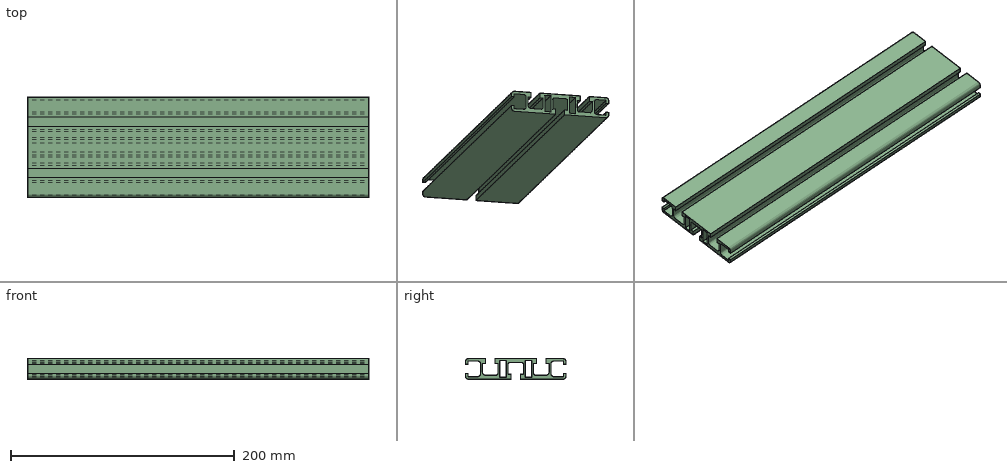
import cadquery as cq

length = 304.8
width = 90.0
height = 18.5
outer_radius = 2.7

slot_opening = 8.2
slot_width = 13.7
slot_lip = 4.5
slot_floor = 3.7
slot_radius = 1.8
upper_slot_outer_radius = 2.7
upper_slot_offset = 23.0

channel_lip = 2.5
channel_radius = 2.5
web_thickness = 1.8
channel_inner = upper_slot_offset + slot_width / 2 + web_thickness
channel_outer = width / 2 - channel_lip

chamber_width = 5.5
chamber_height = 15.0
chamber_offset = upper_slot_offset / 2

top = height / 2


def bar(y_min, y_max, z_min, z_max):
    """Full-length rectangular bar between the given Y and Z limits."""
    return cq.Workplane("XY").box(length, y_max - y_min, z_max - z_min).translate(
        (0, (y_min + y_max) / 2, (z_min + z_max) / 2)
    )


def upper_slot(y_centre, positive_y_radius):
    """T-slot open at the top; its floor corner on the +Y side has its own radius."""
    half_width = slot_width / 2
    half_opening = slot_opening / 2
    cavity = bar(y_centre - half_width, y_centre + half_width, slot_floor - top, top - slot_lip)
    cavity = cavity.faces("<Z").edges("<Y").fillet(slot_radius)
    cavity = cavity.faces("<Z").edges(">Y").fillet(positive_y_radius)
    opening = bar(y_centre - half_opening, y_centre + half_opening, 0, top)
    return cavity.union(opening)


def side_channel():
    """Channel open towards +Y, with rounded corners at its inner wall."""
    half_opening = slot_opening / 2
    half_height = slot_width / 2
    cavity = bar(channel_inner, channel_outer, -half_height, half_height)
    cavity = cavity.faces("<Y").edges("|X").fillet(channel_radius)
    opening = bar(channel_inner + channel_radius, width / 2, -half_opening, half_opening)
    return cavity.union(opening)


def chamber(y_centre):
    """Closed hollow running the full length."""
    return cq.Workplane("XY").box(length, chamber_width, chamber_height).translate((0, y_centre, 0))


result = cq.Workplane("XY").box(length, width, height).edges("|X").fillet(outer_radius)

result = result.cut(upper_slot(0, slot_radius).mirror("XY"))

side_hollows = (
    upper_slot(upper_slot_offset, upper_slot_outer_radius),
    chamber(chamber_offset),
    side_channel(),
)
for hollow in side_hollows:
    result = result.cut(hollow).cut(hollow.mirror("XZ"))